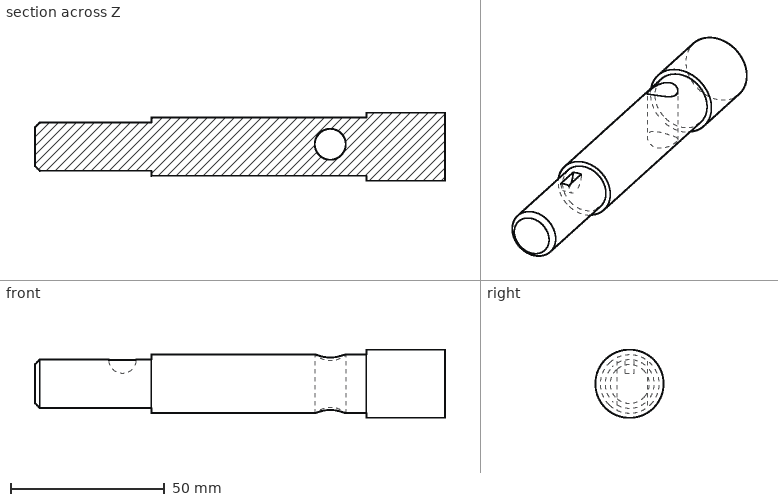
import cadquery as cq

total_length = 133.2
tip_length = 37.8
collar_length = 25.6
body_length = total_length - tip_length - collar_length

tip_diameter = 15.9
body_diameter = 19.0
collar_diameter = 22.3
tip_chamfer = 1.6

hole_diameter = 10.0
hole_x = 96.0
hole_offset_y = 0.8

key_cutter_diameter = 8.9
key_width = 2.9
key_x = 28.4


def cylinder_along_x(start, length, diameter):
    return cq.Workplane("YZ", origin=(start, 0, 0)).circle(diameter / 2).extrude(length)


def stepped_shaft():
    tip = cylinder_along_x(0, tip_length, tip_diameter).faces("<X").chamfer(tip_chamfer)
    body = cylinder_along_x(tip_length, body_length, body_diameter)
    collar = cylinder_along_x(tip_length + body_length, collar_length, collar_diameter)
    return tip.union(body).union(collar)


def cross_hole():
    return (
        cq.Workplane("XY")
        .center(hole_x, hole_offset_y)
        .circle(hole_diameter / 2)
        .extrude(body_diameter / 2, both=True)
    )


def key_seat():
    cutter_z = tip_diameter / 2
    return (
        cq.Workplane("XZ")
        .center(key_x, cutter_z)
        .circle(key_cutter_diameter / 2)
        .extrude(key_width / 2, both=True)
    )


result = stepped_shaft().cut(cross_hole()).cut(key_seat())